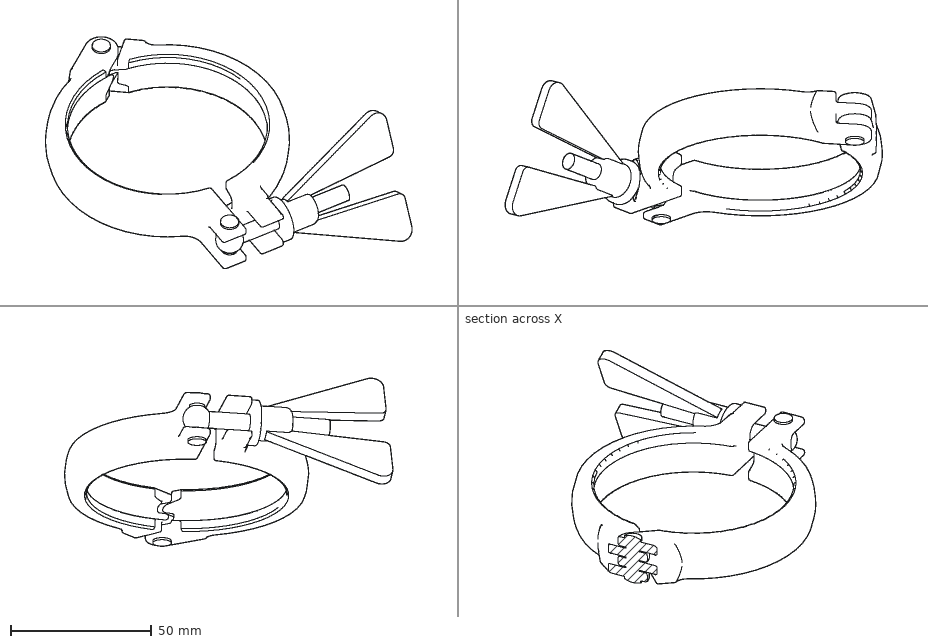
import cadquery as cq
import math


half_height = 8.0
band_radius = 43.5
crown_radius = 20.0
band_fillet = 1.5
edge_fillet = 1.0

crown_height = crown_radius - math.sqrt(
    (crown_radius - band_fillet) ** 2 - (half_height - band_fillet) ** 2
)
face_radius = band_radius - crown_height

lip_radius = 35.6
stock_radius = lip_radius - 1.0
groove_radius = 39.75
groove_lip_half_width = 4.1
groove_slope = 20.0
groove_fillet = 2.0
lip_fillet = 1.0
bore_edge_fillet = 0.8

gap_half = 2.9
ear_end_x = 61.0
ear_face_y = 11.2
ear_blend_x = 45.0
slot_half_width = 5.0
slot_start_x = 49.0
slot_corner_radius = 3.0
slot_edge_fillet = 1.2

hinge_x = -46.5
knuckle_radius = 6.0
knuckle_pitch = half_height / 2
knuckle_gap = 0.2
arm_angle = -52.3
arm_length = 26.0
wall_angle = -46.0
wall_distance = 6.9
notch_corner_radius = 0.8
arm_blend_angle = 205.3
arm_blend_radius = 6.0

pin_radius = 2.75
pin_head_radius = 3.3
pin_head_rim = 0.8
pin_head_height = 1.6

bolt_x = 55.28
ball_y = -6.8
ball_radius = 5.0
ball_half_height = 4.2
bolt_radius = 3.0
bolt_end_y = 41.0
seat_y = 12.0
seat_radius = 9.3
seat_edge_start_x = 51.0
flange_radius = 8.15
flange_top_y = 15.2
flange_fillet = 0.6
nut_radius = 6.2
nut_top_y = 27.2
nut_fillet = 2.2
wing_angle = 25.0
wing_thickness = 4.0
wing_top_y = 62.2
wing_base_y = 17.6
wing_base_inner = 4.3
wing_tip_inner = 7.4
wing_tip_outer = 27.2
wing_outer_fillet = 4.0
wing_inner_fillet = 2.5

TOTAL_HEIGHT = 2 * half_height
REACH = 100.0


def polar(radius, angle, centre=(0.0, 0.0)):
    turn = math.radians(angle)
    return (centre[0] + radius * math.cos(turn), centre[1] + radius * math.sin(turn))


def crown_section(plane, inner, face, outward=1):
    """Closed band section from `inner` to the flat face limit `face`, crowned on the outward side."""
    lean = math.atan2(half_height - band_fillet, crown_radius - crown_height)
    fillet_end = band_fillet * math.cos(lean)
    fillet_end_z = half_height - band_fillet + band_fillet * math.sin(lean)
    fillet_mid_angle = (lean + math.pi / 2) / 2
    fillet_mid = band_fillet * math.cos(fillet_mid_angle)
    fillet_mid_z = half_height - band_fillet + band_fillet * math.sin(fillet_mid_angle)

    def at(height, z):
        return (face + outward * height, z)

    return (
        cq.Workplane(plane)
        .moveTo(inner, half_height)
        .lineTo(face, half_height)
        .threePointArc(at(fillet_mid, fillet_mid_z), at(fillet_end, fillet_end_z))
        .threePointArc(at(crown_height, 0), at(fillet_end, -fillet_end_z))
        .threePointArc(at(fillet_mid, -fillet_mid_z), at(0, -half_height))
        .lineTo(inner, -half_height)
        .close()
    )


def prism(points):
    return cq.Workplane("XY").polyline(points).close().extrude(half_height, both=True)


def blend_cutter(centre, radius):
    """Waisted spool that leaves the crowned section along a concave arc of the outline."""
    spool = crown_section("XZ", 0, radius, outward=-1).revolve(360, (0, 0), (0, 1))
    return spool.translate((centre[0], centre[1], 0))


ear_blend_radius = (ear_blend_x**2 + ear_face_y**2 - face_radius**2) / (2 * (face_radius - ear_face_y))
ear_blend_centre = (ear_blend_x, -ear_face_y - ear_blend_radius)
ear_blend_angle = math.degrees(math.atan2(ear_blend_centre[1], ear_blend_centre[0]))
arm_blend_centre = polar(face_radius + arm_blend_radius, arm_blend_angle)
hinge = (hinge_x, 0.0)


def ring_arc():
    ring = crown_section("XZ", stock_radius, face_radius).revolve(360, (0, 0), (0, 1))
    sector = prism(
        [
            (0, 0),
            polar(REACH, arm_blend_angle),
            (0, -2 * REACH),
            polar(REACH, ear_blend_angle),
        ]
    )
    return ring.intersect(sector)


def ear():
    straight = (
        crown_section("YZ", -gap_half, -ear_face_y, outward=-1)
        .extrude(ear_end_x - ear_blend_x)
        .translate((ear_blend_x, 0, 0))
    )
    root = prism(
        [
            (stock_radius, -gap_half),
            (ear_blend_x, -gap_half),
            ear_blend_centre,
            polar(stock_radius, ear_blend_angle),
        ]
    )
    return straight.union(root.cut(blend_cutter(ear_blend_centre, ear_blend_radius)))


def hinge_notch(bottom):
    """Room for one knuckle of the other half, rounded where its floors meet the wall."""
    return (
        cq.Workplane("XY")
        .box(REACH, REACH, knuckle_pitch + knuckle_gap)
        .edges("|Y and >X")
        .fillet(notch_corner_radius)
        .translate((wall_distance - REACH / 2, 0, bottom + knuckle_pitch / 2))
        .rotate((0, 0, 0), (0, 0, 1), wall_angle - arm_angle)
    )


def arm():
    """Arm rounded about the hinge, with two knuckles; laid out along X, then turned to its place."""
    slab = (
        cq.Workplane("XY")
        .moveTo(0, knuckle_radius)
        .threePointArc((-knuckle_radius, 0), (0, -knuckle_radius))
        .lineTo(arm_length, -knuckle_radius)
        .lineTo(arm_length, knuckle_radius)
        .close()
        .extrude(half_height, both=True)
    )
    body = slab
    for bottom in (0, -half_height, -half_height - knuckle_pitch / 2):
        body = body.cut(hinge_notch(bottom))
    body = body.faces("<Y or >Y or <Z").edges("not(|Z or >X)").fillet(edge_fillet)
    body = body.rotate((0, 0, 0), (0, 0, 1), arm_angle).translate((hinge_x, 0, 0))
    ring_side = prism([(0, 0), polar(REACH, arm_blend_angle), (-REACH, REACH), (0, REACH)])
    return body.intersect(ring_side).cut(blend_cutter(arm_blend_centre, arm_blend_radius))


def bore():
    """Bore with rounded mouths and, midway, a V groove with rounded bottom and rims for pipe flanges."""
    slope = math.tan(math.radians(groove_slope))
    bottom_half_width = groove_lip_half_width - slope * (groove_radius - lip_radius)
    flare = lip_radius + bore_edge_fillet
    mouth_z = half_height - bore_edge_fillet
    reach_z = (groove_lip_half_width + mouth_z) / 2
    groove_circles = cq.selectors.BoxSelector((-reach_z, -reach_z, -reach_z), (reach_z, reach_z, reach_z))
    smallest = cq.selectors.RadiusNthSelector(0)
    largest = cq.selectors.RadiusNthSelector(-1)
    return (
        cq.Workplane("XZ")
        .moveTo(0, half_height)
        .lineTo(flare, half_height)
        .radiusArc((lip_radius, mouth_z), -bore_edge_fillet)
        .lineTo(lip_radius, groove_lip_half_width)
        .lineTo(groove_radius, bottom_half_width)
        .lineTo(groove_radius, -bottom_half_width)
        .lineTo(lip_radius, -groove_lip_half_width)
        .lineTo(lip_radius, -mouth_z)
        .radiusArc((flare, -half_height), -bore_edge_fillet)
        .lineTo(0, -half_height)
        .close()
        .revolve(360, (0, 0), (0, 1))
        .edges(groove_circles)
        .edges(smallest)
        .fillet(lip_fillet)
        .edges(groove_circles)
        .edges(largest)
        .fillet(groove_fillet)
    )


def ear_slot():
    """Slot open at the ear's end, through which the bolt swings."""
    return (
        cq.Workplane("XZ")
        .rect(REACH, 2 * slot_half_width)
        .extrude(REACH)
        .edges("|Y")
        .fillet(slot_corner_radius)
        .translate((slot_start_x + REACH / 2, 0, 0))
    )


def clamp_half():
    body = ring_arc().union(ear()).union(arm()).cut(bore())
    gap_face = body.faces(cq.NearestToPointSelector((ear_blend_x, -gap_half, 0)))
    end_face = body.faces(cq.NearestToPointSelector((ear_end_x, -(gap_half + ear_face_y) / 2, 0)))
    body = gap_face.edges().add(end_face.edges()).fillet(edge_fillet)
    outer_slot_edges = cq.selectors.BoxSelector(
        (slot_start_x - edge_fillet, -ear_face_y - crown_height, -slot_half_width - edge_fillet),
        (ear_end_x, -ear_face_y, slot_half_width + edge_fillet),
    )
    return body.cut(ear_slot()).edges(outer_slot_edges).fillet(slot_edge_fillet)


def nut_seat():
    """Flat faced into the upper ear for the nut, with rounding for its two long edges."""
    length = ear_end_x - seat_edge_start_x
    rounding = (
        cq.Workplane("XY")
        .box(length, 2 * seat_y, TOTAL_HEIGHT)
        .edges("|X")
        .fillet(edge_fillet)
        .translate((seat_edge_start_x + length / 2, 0, 0))
    )
    rim = (
        cq.Workplane("XY")
        .box(length, 2 * edge_fillet, TOTAL_HEIGHT)
        .translate((seat_edge_start_x + length / 2, seat_y, 0))
    )
    return rod(seat_radius, seat_y, REACH).union(rim.cut(rounding))


def pin(x, y):
    rim_z = half_height + pin_head_rim
    top_z = half_height + pin_head_height
    dome_radius = (pin_head_radius**2 + (top_z - rim_z) ** 2) / (2 * (top_z - rim_z))
    half = (
        cq.Workplane("XZ")
        .lineTo(pin_radius, 0)
        .lineTo(pin_radius, half_height)
        .lineTo(pin_head_radius, half_height)
        .lineTo(pin_head_radius, rim_z)
        .radiusArc((0, top_z), -dome_radius)
        .close()
        .revolve(360, (0, 0), (0, 1))
    )
    return half.union(half.mirror("XY")).translate((x, y, 0))


def rod(radius, start_y, end_y):
    """Cylinder along Y on the bolt's axis."""
    return cq.Workplane("XZ", origin=(bolt_x, start_y, 0)).circle(radius).extrude(start_y - end_y)


def bolt():
    ball = cq.Workplane("XY").sphere(ball_radius)
    ball = ball.intersect(cq.Workplane("XY").box(REACH, REACH, 2 * ball_half_height))
    return ball.translate((bolt_x, ball_y, 0)).union(rod(bolt_radius, ball_y, bolt_end_y))


def wing():
    """Flat tapered wing standing in the YZ plane before it is turned about the bolt."""
    return (
        cq.Workplane("YZ")
        .polyline(
            [
                (wing_base_y, wing_base_inner),
                (wing_base_y, nut_radius),
                (wing_top_y, wing_tip_outer),
                (wing_top_y, wing_tip_inner),
            ]
        )
        .close()
        .extrude(wing_thickness / 2, both=True)
        .edges("|X and >Y and >Z")
        .fillet(wing_outer_fillet)
        .edges("|X and >Y")
        .edges("<Z")
        .fillet(wing_inner_fillet)
    )


def wing_nut():
    nut = rod(flange_radius, seat_y, flange_top_y).edges().fillet(flange_fillet)
    nut = nut.union(rod(nut_radius, seat_y, nut_top_y).faces(">Y").edges().fillet(nut_fillet))
    for turn in (-wing_angle, 180 - wing_angle):
        nut = nut.union(wing().rotate((0, 0, 0), (0, 1, 0), turn).translate((bolt_x, 0, 0)))
    return nut


lower_half = clamp_half()
upper_half = lower_half.rotate((0, 0, 0), (1, 0, 0), 180).cut(nut_seat())

result = lower_half.union(upper_half)
for piece in (pin(*hinge), pin(bolt_x, ball_y), bolt(), wing_nut()):
    result = result.union(piece)